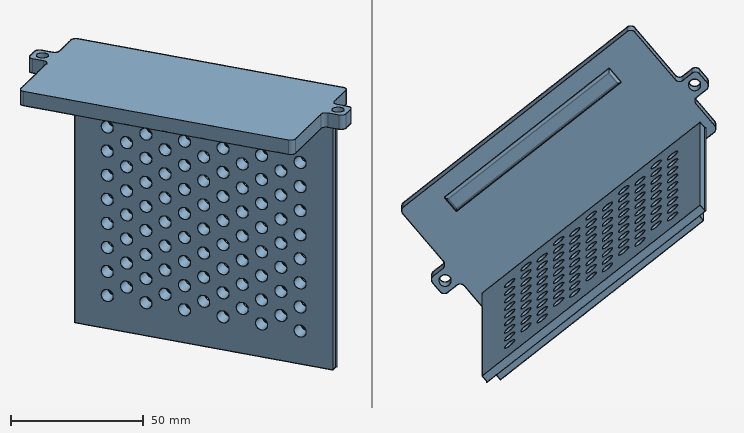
import cadquery as cq

PLATE_WIDTH = 113.0
PLATE_DEPTH = 51.5
PLATE_THICKNESS = 6.0
CORNER_RADIUS = 2.0

OVERALL_WIDTH = 130.0
TAB_WIDTH = 8.5
TAB_FROM_BACK = 19.1
TAB_HOLE_DIAMETER = 4.5
TAB_HOLE_FROM_END = TAB_WIDTH / 2

OVERALL_HEIGHT = 115.0
WALL_WIDTH = 107.0
WALL_THICKNESS = 3.1
LIP_SIZE = 0.4

PAD_THICKNESS = 3.4
PAD_STEP = 4.0

VENT_DIAMETER = 5.0
VENT_COLUMNS = 11
VENTS_PER_COLUMN = 9
VENT_COLUMN_SPACING = 7.9
VENT_PITCH = 10.0
TOP_VENT_DEPTH = 16.2

RIB_LENGTH = 80.2
RIB_WIDTH = 7.0
RIB_HEIGHT = 2.0
RIB_FROM_BACK = 41.2
RIB_FILLET = 1.0

WALL_BACK_Y = -PAD_THICKNESS
WALL_FRONT_Y = WALL_BACK_Y - WALL_THICKNESS


def make_plate():
    """Plate with two screw tabs, all upright corners rounded."""
    body = cq.Workplane("XY").center(0, -PLATE_DEPTH / 2).rect(PLATE_WIDTH, PLATE_DEPTH)
    body = body.extrude(-PLATE_THICKNESS)
    tabs = cq.Workplane("XY").center(0, -TAB_FROM_BACK).rect(OVERALL_WIDTH, TAB_WIDTH)
    tabs = tabs.extrude(-PLATE_THICKNESS)
    plate = body.union(tabs).edges("|Z").fillet(CORNER_RADIUS)

    hole_x = OVERALL_WIDTH / 2 - TAB_HOLE_FROM_END
    holes = cq.Workplane("XY").pushPoints([(-hole_x, -TAB_FROM_BACK), (hole_x, -TAB_FROM_BACK)])
    holes = holes.circle(TAB_HOLE_DIAMETER / 2).extrude(-PLATE_THICKNESS)
    return plate.cut(holes)


def make_wall():
    """Thin wall whose sides flare out to a narrow lip along the back."""
    back_half = WALL_WIDTH / 2
    front_half = back_half - LIP_SIZE
    flare_y = WALL_BACK_Y - LIP_SIZE
    outline = [
        (-back_half, WALL_BACK_Y),
        (back_half, WALL_BACK_Y),
        (front_half, flare_y),
        (front_half, WALL_FRONT_Y),
        (-front_half, WALL_FRONT_Y),
        (-front_half, flare_y),
    ]
    return cq.Workplane("XY").polyline(outline).close().extrude(-OVERALL_HEIGHT)


def make_pad():
    """Pad on the back of the wall, flush with the back edge of the plate."""
    width = WALL_WIDTH - 2 * PAD_STEP
    height = OVERALL_HEIGHT - PLATE_THICKNESS - PAD_STEP
    pad = cq.Workplane("XY").workplane(offset=-PLATE_THICKNESS)
    return pad.center(0, -PAD_THICKNESS / 2).rect(width, PAD_THICKNESS).extrude(-height)


def make_vents():
    """Columns of round cutters; every other column starts half a pitch lower."""
    points = []
    for column in range(VENT_COLUMNS):
        x = (column - (VENT_COLUMNS - 1) / 2) * VENT_COLUMN_SPACING
        stagger = VENT_PITCH / 2 if column % 2 == 0 else 0
        for row in range(VENTS_PER_COLUMN):
            points.append((x, -TOP_VENT_DEPTH - stagger - row * VENT_PITCH))
    vents = cq.Workplane("XZ").pushPoints(points).circle(VENT_DIAMETER / 2)
    return vents.extrude(-WALL_FRONT_Y)


def make_rib():
    """Straight rib with its lower edges rounded."""
    rib = cq.Workplane("XY").workplane(offset=-PLATE_THICKNESS).center(0, -RIB_FROM_BACK)
    rib = rib.rect(RIB_LENGTH, RIB_WIDTH).extrude(-RIB_HEIGHT)
    return rib.faces("<Z").edges().fillet(RIB_FILLET)


wall = make_wall().union(make_pad()).cut(make_vents())
result = make_plate().union(wall).union(make_rib())